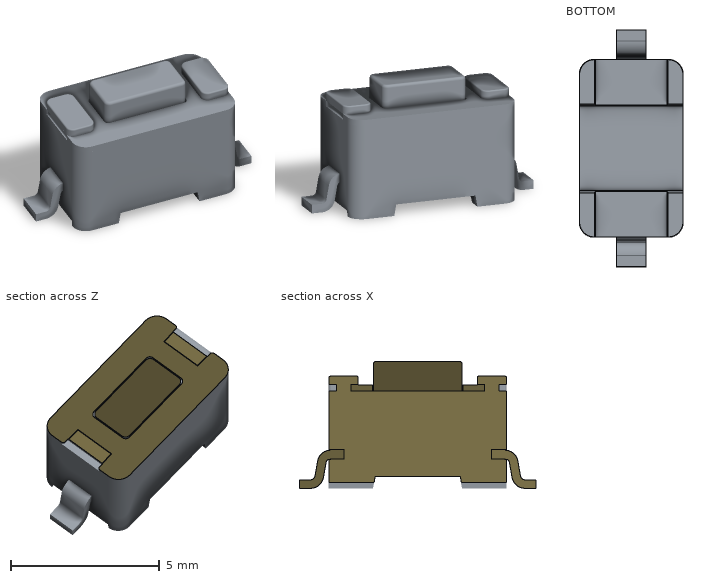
import cadquery as cq
import math

body_width = 3.5
body_length = 6.0
body_corner_radius = 0.5
cover_top = 3.5
cover_thickness = 0.2
housing_top = cover_top - cover_thickness

cross_channel_width = 3.0
cross_channel_height = 0.4
long_channel_width = body_width - 2 * body_corner_radius
long_channel_height = 0.2
channel_draft = 10.0

rivet_width = 2.0
rivet_length = 1.0
rivet_height = 0.3
rivet_corner_radius = 0.25
rivet_top_fillet = 0.05
rivet_center_y = (body_length - rivet_length) / 2
stem_width = rivet_width - 2 * rivet_corner_radius
stem_length = rivet_length - 2 * rivet_corner_radius

notch_depth = (rivet_length + stem_length) / 2
notch_mouth_radius = 0.1

button_width = 1.5
button_length = 3.0
button_top = 4.3
button_corner_radius = 0.19
button_top_fillet = 0.1
button_clearance = 0.02
opening_corner_radius = 0.15

lead_span = 8.0
lead_width = 1.0
lead_thickness = 0.3
lead_inner_radius = 0.15
lead_shoulder_top = 1.3
lead_foot_flat = 0.38
lead_slope = math.radians(10.0)
lead_anchor_depth = 0.5


def rounded_block(width, length, height, radius, bottom):
    """Block centred on the Z axis with rounded vertical edges."""
    block = cq.Workplane("XY").workplane(offset=bottom).rect(width, length).extrude(height)
    return block.edges("|Z").fillet(radius)


def channel(plane, mouth_width, height, run):
    """Drafted channel cutter, centred on the Z axis and open downwards."""
    mouth_half = mouth_width / 2
    roof_half = mouth_half - height * math.tan(math.radians(channel_draft))
    outline = [(-mouth_half, 0), (mouth_half, 0), (roof_half, height), (-roof_half, height)]
    return cq.Workplane(plane).polyline(outline).close().extrude(run / 2, both=True)


def rivet(side):
    """Rounded head on a narrower stem, at the +Y (1) or -Y (-1) end."""
    head = rounded_block(rivet_width, rivet_length, rivet_height, rivet_corner_radius, cover_top)
    head = head.faces(">Z").edges().fillet(rivet_top_fillet)
    stem = (
        cq.Workplane("XY").workplane(offset=housing_top)
        .rect(stem_width, stem_length).extrude(cover_thickness)
    )
    return head.union(stem).translate((0, side * rivet_center_y, 0))


def make_lead(side):
    """Flat strip bent into a gull wing, at the +Y (1) or -Y (-1) end."""
    bend = lead_inner_radius + lead_thickness / 2
    shoulder_z = lead_shoulder_top - lead_thickness / 2
    foot_z = lead_thickness / 2
    bend_cos = bend * math.cos(lead_slope)
    bend_sin = bend * math.sin(lead_slope)
    half_turn = (math.pi / 2 + lead_slope) / 2
    mid_y = bend * math.cos(half_turn)
    mid_z = bend * math.sin(half_turn)

    upper_z = shoulder_z - bend
    lower_z = foot_z + bend
    leg_drop = upper_z - lower_z + 2 * bend_sin
    lower_y = lead_span / 2 - lead_foot_flat
    upper_y = lower_y - 2 * bend_cos - leg_drop * math.tan(lead_slope)

    anchor_y = body_length / 2 - lead_anchor_depth
    path = (
        cq.Workplane("YZ").moveTo(anchor_y, shoulder_z)
        .lineTo(upper_y, shoulder_z)
        .threePointArc((upper_y + mid_y, upper_z + mid_z), (upper_y + bend_cos, upper_z + bend_sin))
        .lineTo(lower_y - bend_cos, lower_z - bend_sin)
        .threePointArc((lower_y - mid_y, lower_z - mid_z), (lower_y, foot_z))
        .lineTo(lead_span / 2, foot_z)
    )
    section = cq.Workplane("XZ", origin=(0, anchor_y, shoulder_z)).rect(lead_width, lead_thickness)
    lead = section.sweep(path)
    if side < 0:
        lead = lead.rotate((0, 0, 0), (0, 0, 1), 180)
    return lead


def make_housing(leads):
    """Moulded base with four feet, two rivets and a socket for each lead."""
    housing = rounded_block(body_width, body_length, housing_top, body_corner_radius, 0)
    housing = housing.cut(channel("YZ", cross_channel_width, cross_channel_height, body_width))
    housing = housing.cut(channel("XZ", long_channel_width, long_channel_height, body_length))
    for side in (-1, 1):
        housing = housing.union(rivet(side))
    for lead in leads:
        housing = housing.cut(lead)
    return housing


def make_cover():
    """Sheet with the button opening and a rivet notch at each end."""
    cover = rounded_block(body_width, body_length, cover_thickness, body_corner_radius, housing_top)
    opening = rounded_block(
        button_width + 2 * button_clearance,
        button_length + 2 * button_clearance,
        cover_thickness,
        opening_corner_radius,
        housing_top,
    )
    cover = cover.cut(opening)
    mouth_y = body_length / 2
    for side in (-1, 1):
        notch = (
            cq.Workplane("XY").workplane(offset=housing_top)
            .center(0, side * (mouth_y - notch_depth / 2))
            .rect(stem_width, notch_depth).extrude(cover_thickness)
        )
        cover = cover.cut(notch)
        for edge_x in (-stem_width / 2, stem_width / 2):
            mouth_corner = cq.selectors.NearestToPointSelector(
                (edge_x, side * mouth_y, housing_top + cover_thickness / 2)
            )
            cover = cover.edges(mouth_corner).fillet(notch_mouth_radius)
    return cover


def make_button():
    """Rounded push button standing on the housing, through the cover opening."""
    button = rounded_block(
        button_width, button_length, button_top - housing_top, button_corner_radius, housing_top
    )
    return button.faces(">Z").edges().fillet(button_top_fillet)


leads = [make_lead(side) for side in (-1, 1)]
housing = make_housing(leads)
cover = make_cover()
button = make_button()

result = cq.Compound.makeCompound(
    [housing.val(), cover.val(), button.val(), *[lead.val() for lead in leads]]
)